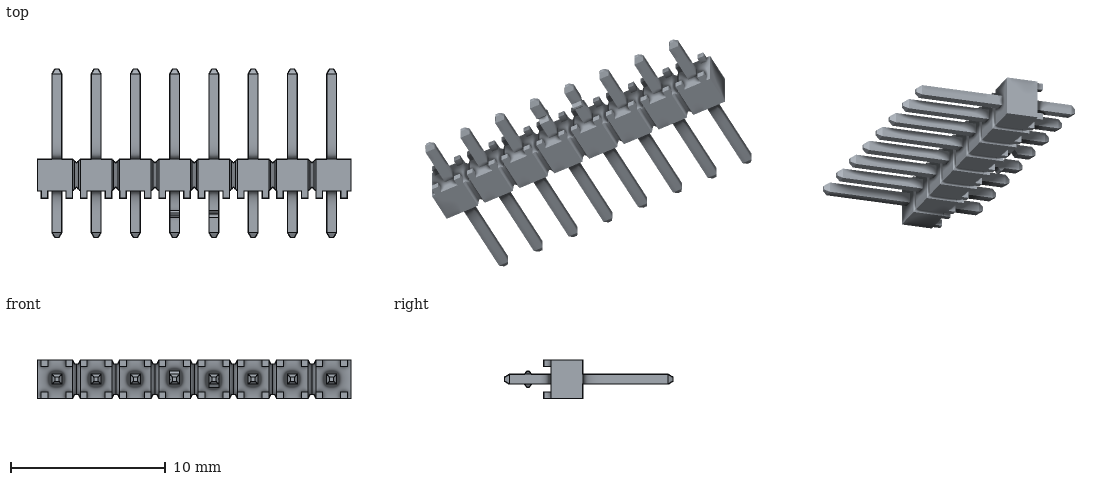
import cadquery as cq

pin_count = 8
row_length = 20.32
pitch = row_length / pin_count
housing_depth = 2.07
housing_height = 2.5

groove_width = 0.5
groove_depth = groove_width / 2
groove_floor_width = 0.26

peg_width = 0.43
peg_height = 0.43
peg_length = 0.47
peg_inset = groove_width / 2

pin_width = 0.65
tail_length = 3.0
total_length = 10.91
tip_length = 0.33
tip_width = 0.26

kink_center_y = -1.48
kink_length = 0.47
kink_crest_length = 0.12
kink_height = 0.2
notch_depth = 0.3

kink_directions = {pin_count // 2 - 1: 1, pin_count // 2: -1}

pin_front_y = -tail_length
pin_back_y = total_length - tail_length
cell_centers = [(i - (pin_count - 1) / 2) * pitch for i in range(pin_count)]
cell_joints = [(i - pin_count / 2) * pitch for i in range(1, pin_count)]


def box(x_size, y_start, y_end, z_size, x=0.0, z=0.0):
    """Box centred on (x, z) that runs from y_start to y_end."""
    return cq.Workplane("XY").box(x_size, y_end - y_start, z_size).translate((x, (y_start + y_end) / 2, z))


def face_groove(x, side):
    """Sharp V groove along Z, cut into the front (side = -1) or back (side = 1) face at a cell joint."""
    face_y = housing_depth / 2 + side * housing_depth / 2
    return (
        cq.Workplane("XY", origin=(x, face_y, 0))
        .polyline([(-groove_width / 2, 0), (groove_width / 2, 0), (0, -side * groove_depth)])
        .close()
        .extrude(housing_height / 2, both=True)
    )


def flat_groove(x, side):
    """Flat-floored groove along Y, cut into the top (side = 1) or bottom (side = -1) at a cell joint."""
    face_z = side * housing_height / 2
    floor_z = face_z - side * groove_depth
    return (
        cq.Workplane("XZ")
        .polyline([
            (x - groove_width / 2, face_z),
            (x + groove_width / 2, face_z),
            (x + groove_floor_width / 2, floor_z),
            (x - groove_floor_width / 2, floor_z),
        ])
        .close()
        .extrude(-housing_depth)
    )


def tip(y, direction):
    """Tapered pin end that starts at y and points along +Y (direction = 1) or -Y (direction = -1)."""
    plane = cq.Plane(origin=(0, y, 0), xDir=(1, 0, 0), normal=(0, direction, 0))
    return (
        cq.Workplane(plane)
        .rect(pin_width, pin_width)
        .workplane(offset=tip_length)
        .rect(tip_width, tip_width)
        .loft(ruled=True)
    )


def straight_pin():
    """Square pin along Y, tapered at both ends."""
    front_y = pin_front_y + tip_length
    back_y = pin_back_y - tip_length
    shank = box(pin_width, front_y, back_y, pin_width)
    return shank.union(tip(front_y, -1)).union(tip(back_y, 1))


def kinked_pin(direction):
    """Pin whose tail bulges up (direction = 1) or down (-1), with a matching V notch opposite."""
    start_y = kink_center_y - kink_length / 2
    end_y = kink_center_y + kink_length / 2
    outer_z = direction * pin_width / 2
    crest_z = outer_z + direction * kink_height
    notch_z = -outer_z + direction * notch_depth
    bulge = (
        cq.Workplane("YZ")
        .polyline([
            (start_y, outer_z),
            (kink_center_y - kink_crest_length / 2, crest_z),
            (kink_center_y + kink_crest_length / 2, crest_z),
            (end_y, outer_z),
        ])
        .close()
        .extrude(pin_width / 2, both=True)
    )
    notch = (
        cq.Workplane("YZ")
        .polyline([(start_y, -outer_z), (kink_center_y, notch_z), (end_y, -outer_z)])
        .close()
        .extrude(pin_width / 2, both=True)
    )
    return straight_pin().union(bulge).cut(notch)


def header_body():
    """Housing with its standoff pegs and its moulded-in straight pins; kinked pins get through holes."""
    body = box(row_length, 0, housing_depth, housing_height)
    for x in cell_joints:
        for side in (-1, 1):
            body = body.cut(face_groove(x, side)).cut(flat_groove(x, side))
    peg_x = pitch / 2 - peg_inset - peg_width / 2
    peg_z = (housing_height - peg_height) / 2
    for i, x in enumerate(cell_centers):
        for x_side in (-1, 1):
            for z_side in (-1, 1):
                peg = box(peg_width, -peg_length, 0, peg_height, x + x_side * peg_x, z_side * peg_z)
                body = body.union(peg)
        if i in kink_directions:
            body = body.cut(box(pin_width, 0, housing_depth, pin_width, x))
        else:
            body = body.union(straight_pin().translate((x, 0, 0)))
    return body


housing = header_body()
kinked_pins = [
    kinked_pin(direction).translate((cell_centers[i], 0, 0)).val()
    for i, direction in kink_directions.items()
]

result = cq.Compound.makeCompound([housing.val(), *kinked_pins])